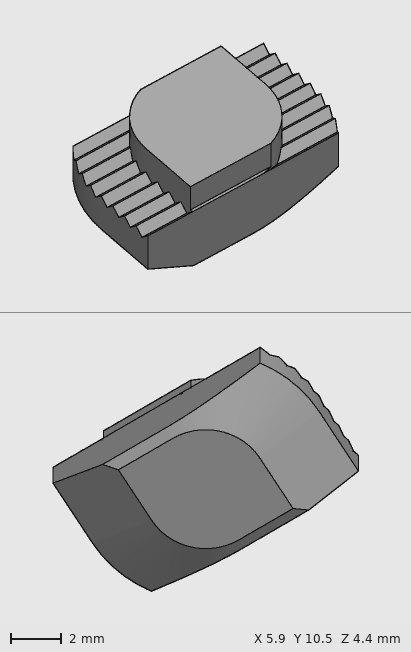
import cadquery as cq

length = 10.5
width = 5.9
total_height = 4.4
body_height = 3.15
bevel_height = 1.35
base_half_size = 2.5
boss_half_length = 3.0
boss_width = 5.63
tooth_count = 8
tooth_depth = 0.35

half_length = length / 2
half_width = width / 2
tooth_pitch = width / tooth_count


def rounded_square(half_size, z):
    """Square outline with two opposite corners rounded about the Z axis."""
    mid_arc = half_size * 0.5 ** 0.5
    return (
        cq.Workplane("XY", origin=(0, 0, z))
        .moveTo(-half_size, half_size)
        .lineTo(0, half_size)
        .threePointArc((mid_arc, mid_arc), (half_size, 0))
        .lineTo(half_size, -half_size)
        .lineTo(0, -half_size)
        .threePointArc((-mid_arc, -mid_arc), (-half_size, 0))
        .close()
    )


def trimmed_to_width(solid, trim_width):
    """Keep only the part of a solid within trim_width along X."""
    strip = cq.Workplane("XY").box(trim_width, length, total_height, centered=(True, True, False))
    return solid.intersect(strip)


def make_body():
    """Twist-in body with a bevelled underside, flat on the sides and conical at the rounds."""
    upper = rounded_square(half_length, bevel_height).extrude(body_height - bevel_height)
    base_wire = rounded_square(base_half_size, 0).val()
    bevel_top_wire = rounded_square(half_length, bevel_height).val()
    bevel = cq.Workplane(cq.Solid.makeLoft([base_wire, bevel_top_wire], True))
    return trimmed_to_width(upper.union(bevel), width)


def make_grooves():
    """V grooves along Y, leaving the land around the boss uncut."""
    groove_line = cq.Workplane("XZ", origin=(0, half_length, 0)).moveTo(-half_width, body_height)
    for tooth in range(tooth_count):
        tooth_start = -half_width + tooth * tooth_pitch
        groove_line = groove_line.lineTo(tooth_start + tooth_pitch / 2, body_height - tooth_depth)
        groove_line = groove_line.lineTo(tooth_start + tooth_pitch, body_height)
    groove_line = groove_line.lineTo(half_width, total_height).lineTo(-half_width, total_height)
    grooves = groove_line.close().extrude(length)
    land = rounded_square(boss_half_length, 0).extrude(total_height)
    return grooves.cut(land)


def make_boss():
    """Raised boss, slightly narrower than the body."""
    boss = rounded_square(boss_half_length, body_height).extrude(total_height - body_height)
    return trimmed_to_width(boss, boss_width)


result = make_body().cut(make_grooves()).union(make_boss())